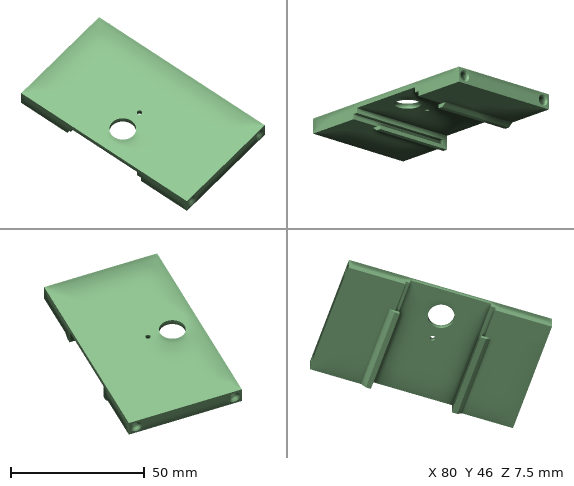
import cadquery as cq
import math

length = 80.0
width = 46.0
thickness = 6.0
front_y = -width / 2
back_y = width / 2

channel_width = 32.0
roof_thickness = 2.0
channel_side = channel_width / 2

groove_width = 1.8
groove_height = 2.0
groove_end_wall = 2.0

entry_length = 12.0
lip_width = 3.9
lip_drop = thickness / 4
lip_slope_run = 1.9
lip_length = width - entry_length

window_diameter = 10.0
window_offset = 11.0
pin_diameter = 2.0
pin_offset = 21.0

screw_diameter = 3.3
screw_depth = 12.0
drill_point_angle = 118.0
screw_tip_depth = screw_diameter / 2 / math.tan(math.radians(drill_point_angle / 2))
countersink_diameter = 4.4
countersink_depth = (countersink_diameter - screw_diameter) / 2
screw_inset = thickness / 2
screw_z = -thickness / 2


def box_between(x0, x1, y0, y1, z0, z1):
    """Box spanning the given ranges."""
    return cq.Workplane("XY").box(x1 - x0, y1 - y0, z1 - z0, centered=False).translate((x0, y0, z0))


def both_sides(right_half):
    """The given solid together with its mirror image across X = 0."""
    return right_half.union(right_half.mirror("YZ"))


def make_lip():
    """Right-hand lip with its outer side sloping inwards towards the bottom."""
    outer_x = channel_side + lip_width
    profile = [
        (channel_side, -thickness),
        (outer_x, -thickness),
        (outer_x - lip_slope_run, -thickness - lip_drop),
        (channel_side, -thickness - lip_drop),
    ]
    return cq.Workplane("XZ", origin=(0, back_y, 0)).polyline(profile).close().extrude(lip_length)


def make_groove():
    """Cutter for the right-hand groove."""
    return box_between(
        channel_side, channel_side + groove_width,
        front_y, back_y - groove_end_wall,
        -thickness, -thickness + groove_height,
    )


def make_screw_hole(y):
    """Cutter for a drilled and countersunk hole in the right end face."""
    mouth_x = length / 2
    profile = [
        (mouth_x, 0),
        (mouth_x, countersink_diameter / 2),
        (mouth_x - countersink_depth, screw_diameter / 2),
        (mouth_x - screw_depth, screw_diameter / 2),
        (mouth_x - screw_depth - screw_tip_depth, 0),
    ]
    hole = cq.Workplane("XY").polyline(profile).close().revolve(360, (0, 0, 0), (1, 0, 0))
    return hole.translate((0, y, screw_z))


def make_roof_hole(diameter, offset):
    """Cutter for a vertical hole on the centreline."""
    return cq.Workplane("XY", origin=(0, front_y + offset, 0)).circle(diameter / 2).extrude(-thickness)


plate = box_between(-length / 2, length / 2, front_y, back_y, -thickness, 0)
channel = box_between(-channel_side, channel_side, front_y, back_y, -thickness, -roof_thickness)

result = plate.cut(channel).union(both_sides(make_lip())).cut(both_sides(make_groove()))
result = result.cut(make_roof_hole(window_diameter, window_offset))
result = result.cut(make_roof_hole(pin_diameter, pin_offset))
for screw_y in (front_y + screw_inset, back_y - screw_inset):
    result = result.cut(both_sides(make_screw_hole(screw_y)))